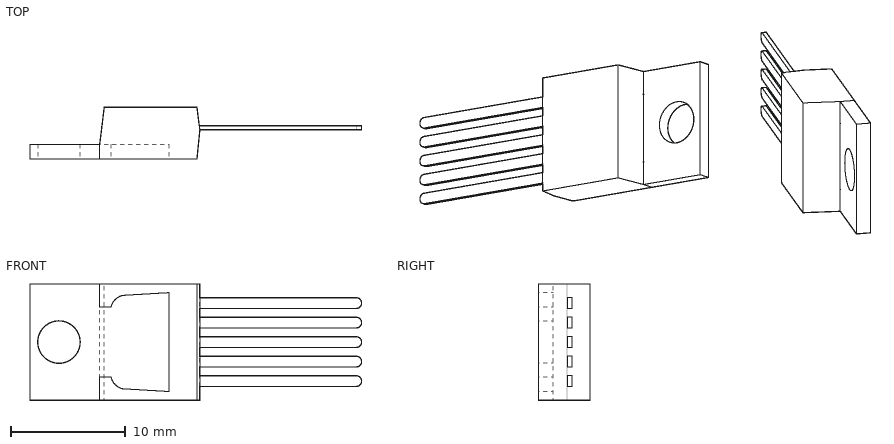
import cadquery as cq

total_length = 28.93
width = 10.16
half_width = width / 2

tab_thickness = 1.27
tab_exposed_length = 6.08
hole_diameter = 3.68
hole_x = 2.54
neck_half_width = 3.04
neck_end_x = 7.08
shoulder_radius = 1.35
shoulder_end_x = 8.10
shoulder_half_width = 4.07
plate_end_x = 12.14
plate_end_half_width = 4.31

housing_thickness = 4.52
housing_end_x = 14.58
ridge_x = 14.83
ridge_y = 2.50
back_face_start_x = 6.48

lead_count = 5
lead_pitch = 1.70
lead_width = 0.95
lead_thickness = 0.38
lead_front_y = 2.54


def front_sketch(back_y):
    """Workplane at Y = back_y with sketch axes X and Z; positive extrusions run toward -Y."""
    return cq.Workplane("XZ", origin=(0, back_y, 0))


def make_tab():
    """Flat tab with a mounting hole; behind the neck it flares into the plate inside the housing."""
    blank = (
        front_sketch(tab_thickness)
        .moveTo(0, -half_width)
        .lineTo(tab_exposed_length, -half_width)
        .lineTo(tab_exposed_length, -neck_half_width)
        .lineTo(neck_end_x, -neck_half_width)
        .radiusArc((shoulder_end_x, -shoulder_half_width), -shoulder_radius)
        .lineTo(plate_end_x, -plate_end_half_width)
        .lineTo(plate_end_x, plate_end_half_width)
        .lineTo(shoulder_end_x, shoulder_half_width)
        .radiusArc((neck_end_x, neck_half_width), -shoulder_radius)
        .lineTo(tab_exposed_length, neck_half_width)
        .lineTo(tab_exposed_length, half_width)
        .lineTo(0, half_width)
        .close()
        .extrude(tab_thickness)
    )
    hole = (
        front_sketch(tab_thickness)
        .center(hole_x, 0)
        .circle(hole_diameter / 2)
        .extrude(tab_thickness)
    )
    return blank.cut(hole)


def make_housing(tab):
    """Moulded block with drafted ends, recessed to hold the tab flush with its front face."""
    side_profile = [
        (tab_exposed_length, 0),
        (housing_end_x, 0),
        (ridge_x, ridge_y),
        (housing_end_x, housing_thickness),
        (back_face_start_x, housing_thickness),
        (tab_exposed_length, tab_thickness),
    ]
    block = (
        cq.Workplane("XY", origin=(0, 0, -half_width))
        .polyline(side_profile)
        .close()
        .extrude(width)
    )
    return block.cut(tab)


def make_lead(z, housing):
    """Flat lead with a rounded tip, its root trimmed to the drafted end face of the housing."""
    tip_radius = lead_width / 2
    tip_start_x = total_length - tip_radius
    blank = (
        front_sketch(lead_front_y + lead_thickness)
        .moveTo(housing_end_x, z - tip_radius)
        .lineTo(tip_start_x, z - tip_radius)
        .threePointArc((total_length, z), (tip_start_x, z + tip_radius))
        .lineTo(housing_end_x, z + tip_radius)
        .close()
        .extrude(lead_thickness)
    )
    return blank.cut(housing)


tab = make_tab()
housing = make_housing(tab)
leads = []
for index in range(lead_count):
    lead_z = (index - (lead_count - 1) / 2) * lead_pitch
    leads.append(make_lead(lead_z, housing))

result = cq.Compound.makeCompound([tab.val(), housing.val(), *[lead.val() for lead in leads]])